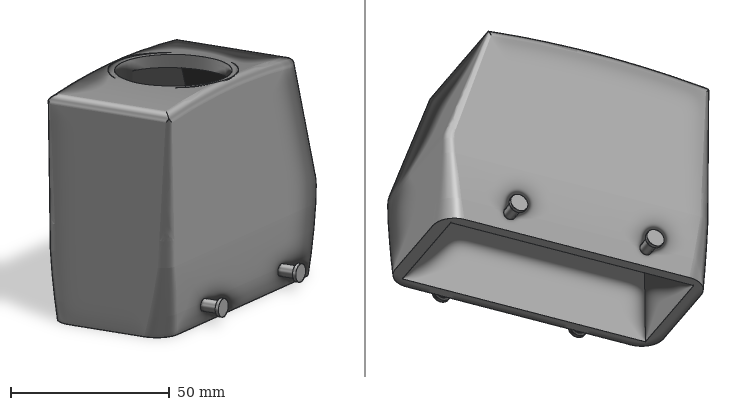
import cadquery as cq
import math

half_length = 46.65
half_width = 22.6
wall = 4.4
cavity_half_width = 17.8
clearance = 0.9

draft = math.tan(math.radians(0.7))
slope_angle = math.radians(19.7)
slope_start_z = 30.2
bend_reach = 1.7
bend_bottom_z = slope_start_z - bend_reach
bend_top_z = slope_start_z + bend_reach
dome_top = 75.81
dome_radius = 331.2
dome_y = -5.9
top_edge_radius = 3.0
back_top_radius = 1.6

tuck_top_z = 23.1
tuck_bottom_z = 7.0
tuck_radius = 204.3

loft_top_z = dome_top + clearance
front_corner = [(0, 7.6), (tuck_bottom_z, 6.3), (tuck_top_z, 3.9), (loft_top_z, 1.1)]
back_corner = [
    (0, 7.6),
    (tuck_bottom_z, 6.2),
    (tuck_top_z, 3.5),
    (slope_start_z, 3.0),
    (loft_top_z, 1.1),
]

entry_radius = 18.5
entry_depth = 8.2
seat_radius = 20.5
seat_half_length = 17.3

pin_z = 6.2
pin_y = 23.7
pin_radius = 2.05
pin_head_radius = 3.0
pin_head_thickness = 1.2
pin_reach = 29.0
pin_root = 18.7


def dome_drop(distance, radius):
    """Fall of the dome below its crest at a given distance along Y."""
    return radius - math.sqrt(radius**2 - distance**2)


def dome_crossing(y, z, lean, inset):
    """Point where a line through (y, z) that moves by lean per unit of height meets the dome."""
    centre_z = dome_top - dome_radius
    start = y - lean * z - dome_y
    a = 1 + lean**2
    b = start * lean - centre_z
    c = start**2 + centre_z**2 - (dome_radius - inset) ** 2
    height = (-b + math.sqrt(b**2 - a * c)) / a
    return y + lean * (height - z), height


def end_block(inset, half_thickness):
    """Y-Z outline of the hood, moved inwards by inset and stretched along X."""
    rim_y = half_length - inset
    bend_z = slope_start_z - inset * math.tan(slope_angle / 2)
    bend_y = rim_y - draft * bend_z
    front_top = dome_crossing(-rim_y, 0, draft, inset)
    back_top = dome_crossing(bend_y, bend_z, -math.tan(slope_angle), inset)
    return (
        cq.Workplane("YZ")
        .moveTo(-rim_y, 0)
        .lineTo(*front_top)
        .threePointArc((dome_y, dome_top - inset), back_top)
        .lineTo(bend_y, bend_z)
        .lineTo(rim_y, 0)
        .close()
        .extrude(half_thickness, both=True)
    )


def half_width_at(z):
    """Half width of the hood: an arc between the two tuck heights, straight beyond."""
    arc_z = min(max(z, tuck_bottom_z), tuck_top_z)
    angle = math.asin((tuck_top_z - arc_z) / tuck_radius)
    arc_x = half_width - tuck_radius * (1 - math.cos(angle))
    return arc_x - max(arc_z - z, 0) * math.tan(angle)


def back_y_at(z):
    """Back face of the hood: drafted wall, rounded bend, then the slope."""
    wall_y = half_length - draft * z
    extra_lean = math.tan(slope_angle) - draft
    if z <= bend_bottom_z:
        return wall_y
    if z < bend_top_z:
        return wall_y - extra_lean * (z - bend_bottom_z) ** 2 / (4 * bend_reach)
    return wall_y - extra_lean * (z - slope_start_z)


def radius_at(z, stations):
    """Corner radius at a height, read along the straight tapers between stations."""
    for (z0, r0), (z1, r1) in zip(stations, stations[1:]):
        if z <= z1:
            return r0 + (r1 - r0) * (z - z0) / (z1 - z0)


def section(z):
    """Horizontal outline of the hood at a height: a rectangle with rounded corners."""
    x = half_width_at(z)
    front = -half_length + draft * z
    back = back_y_at(z)
    rf = radius_at(z, front_corner)
    rb = radius_at(z, back_corner)
    mid_arc = 1 - math.sqrt(0.5)
    mf = rf * mid_arc
    mb = rb * mid_arc
    return (
        cq.Workplane("XY", origin=(0, 0, z))
        .moveTo(rf - x, front)
        .lineTo(x - rf, front)
        .threePointArc((x - mf, front + mf), (x, front + rf))
        .lineTo(x, back - rb)
        .threePointArc((x - mb, back - mb), (x - rb, back))
        .lineTo(rb - x, back)
        .threePointArc((mb - x, back - mb), (-x, back - rb))
        .lineTo(-x, front + rf)
        .threePointArc((mf - x, front + mf), (rf - x, front))
        .close()
        .val()
    )


def straight_band(bottom, top):
    """Part of the hood between two heights where its walls are straight."""
    return cq.Workplane(cq.Solid.makeLoft([section(bottom), section(top)], True))


def curved_band(bottom, top):
    """Part of the hood between two heights where a wall is curved."""
    middle = (bottom + top) / 2
    return cq.Workplane(cq.Solid.makeLoft([section(z) for z in (bottom, middle, top)]))


def make_crown():
    """Domed block, straight at the back, with rounded front and side edges and square corners."""
    front_top = dome_crossing(-half_length, 0, draft, 0)
    back_top = dome_crossing(half_length, 0, 0, 0)
    return (
        cq.Workplane("YZ")
        .moveTo(-half_length, 0)
        .lineTo(*front_top)
        .threePointArc((dome_y, dome_top), back_top)
        .lineTo(half_length, 0)
        .close()
        .extrude(half_width, both=True)
        .faces(">Z")
        .edges("(not |X) or <Y")
        .fillet(top_edge_radius)
    )


def make_sloped_block():
    """Over-wide block with the sloping back face blended into the dome."""
    block = end_block(0, half_width + clearance)
    return block.faces(">Z").edges(">Y").fillet(back_top_radius)


def make_hood():
    """Solid hood, stacked from bands, with the crown trimmed to the dome."""
    upper = straight_band(bend_top_z, loft_top_z)
    upper = upper.intersect(make_crown()).intersect(make_sloped_block())
    return (
        straight_band(0, tuck_bottom_z)
        .union(curved_band(tuck_bottom_z, tuck_top_z))
        .union(straight_band(tuck_top_z, bend_bottom_z))
        .union(curved_band(bend_bottom_z, bend_top_z))
        .union(upper)
    )


def cut_cable_entry(hood):
    """Flat round seat on the dome with the entry bored below it."""
    seat_z = dome_top - dome_drop(seat_half_length, dome_radius)
    at_seat = cq.Workplane("XY", origin=(0, dome_y, seat_z))
    seat = at_seat.circle(seat_radius).extrude(dome_top - seat_z)
    bore = at_seat.circle(entry_radius).extrude(-entry_depth)
    return hood.cut(seat).cut(bore)


def make_pin(side, y):
    """Headed pin standing out of a side wall; side is -1 or 1."""
    root = cq.Workplane("YZ", origin=(side * pin_root, y, pin_z))
    head = cq.Workplane("YZ", origin=(side * pin_reach, y, pin_z))
    shank = root.circle(pin_radius).extrude(side * (pin_reach - pin_root))
    return shank.union(head.circle(pin_head_radius).extrude(-side * pin_head_thickness))


def cut_cavity(hood):
    """Hollow the hood from below; the cavity follows the end walls and the dome."""
    return hood.cut(end_block(wall, cavity_half_width))


result = make_hood()
result = cut_cavity(result)
result = cut_cable_entry(result)
for side in (-1, 1):
    for y in (-pin_y, pin_y):
        result = result.union(make_pin(side, y))